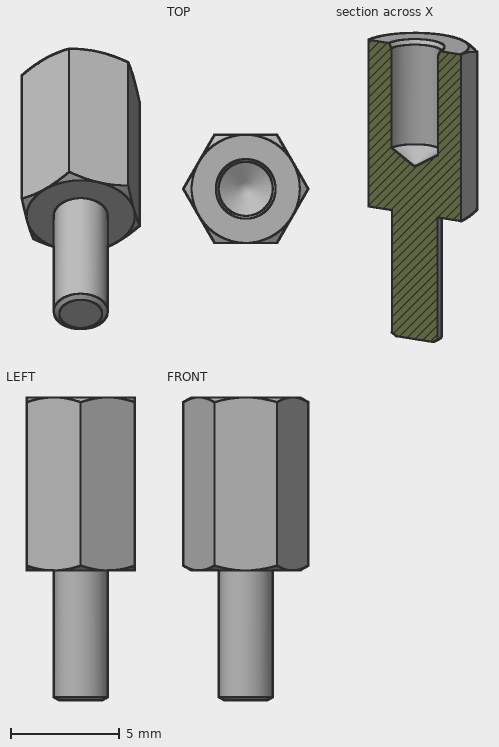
import cadquery as cq
import math

hex_sides = 6
across_flats = 5.005
face_diameter = 5.0
hex_length = 8.0
stud_length = 6.0
thread_diameter = 2.5
corner_chamfer_angle = 30.0
stud_tip_radial = 0.26
stud_tip_length = 0.15
bore_mouth_radial = 0.13
bore_mouth_depth = 0.23
bore_depth = 5.0
drill_point_angle = 120.0

across_corners = across_flats / math.cos(math.pi / hex_sides)
corner_radius = across_corners / 2
face_radius = face_diameter / 2
thread_radius = thread_diameter / 2
corner_drop = (corner_radius - face_radius) * math.tan(math.radians(corner_chamfer_angle))
drill_cone_height = thread_radius / math.tan(math.radians(drill_point_angle / 2))


def revolve_profile(points):
    """Turn a closed (radius, height) outline about the Z axis."""
    return cq.Workplane("XZ").polyline(points).close().revolve(360, (0, 0, 0), (0, 1, 0))


def hex_body():
    """Hexagonal bar, corners on the X axis, with conical chamfers at both ends."""
    bar = cq.Workplane("XY").polygon(hex_sides, across_corners).extrude(hex_length)
    chamfer_envelope = revolve_profile([
        (0, 0),
        (face_radius, 0),
        (corner_radius, corner_drop),
        (corner_radius, hex_length - corner_drop),
        (face_radius, hex_length),
        (0, hex_length),
    ])
    return bar.intersect(chamfer_envelope)


def stud():
    """Cylindrical stud below the hexagon with a chamfered tip."""
    return revolve_profile([
        (0, 0),
        (thread_radius, 0),
        (thread_radius, -stud_length + stud_tip_length),
        (thread_radius - stud_tip_radial, -stud_length),
        (0, -stud_length),
    ])


def bore():
    """Blind drilled bore from the top face, with a chamfered mouth."""
    bore_floor = hex_length - bore_depth
    return revolve_profile([
        (0, hex_length),
        (thread_radius + bore_mouth_radial, hex_length),
        (thread_radius, hex_length - bore_mouth_depth),
        (thread_radius, bore_floor),
        (0, bore_floor - drill_cone_height),
    ])


result = hex_body().union(stud()).cut(bore())